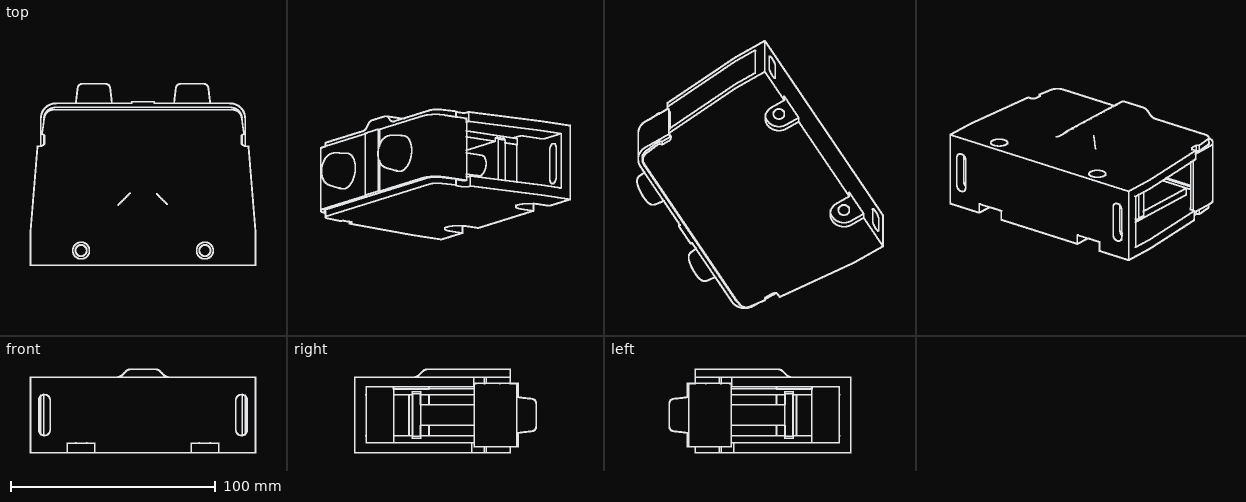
import cadquery as cq
import math


housing_height = 37.0
lower_plate_thickness = 5.0
upper_plate_thickness = 4.75
front_wall = 5.6
front_half_width = 55.0
shoulder_half_width = 51.6
taper_start_y = 16.9
plate_rear_y = 76.1
upper_shoulder_y = 58.3
lower_shoulder_y = 57.3
mid_z = housing_height / 2
cavity_top = housing_height - upper_plate_thickness

notch_outer_x = 49.8
notch_inner_x = 48.1
notch_arc_rise = 2.0
notch_arc_radius = 2.0
notch_end_y = 63.3
tongue_front_y = 64.3
tongue_front_x = 49.3
tongue_rear_x = 48.3
tongue_corner_radius = 4.5

cover_half_width = 50.0
cover_front_y = 58.4
cover_rear_y = 79.2
cover_side_wall = 1.6
cover_rear_wall = 2.0
cover_corner_radius = 7.5
cover_margin_z = 3.0
cover_height = housing_height - 2 * cover_margin_z
cover_inner_rear_y = cover_rear_y - cover_rear_wall
pad_half_width = 5.6
pad_rear_y = 80.0
lip_margin_z = 3.5
lip_height = 3.0
lip_half_width = 45.0

block_half_width = 40.0
block_rear_y = 19.1
block_fillet = 1.9
hole_x = 30.25
hole_y = 7.2
hole_diameter = 5.4
counterbore_diameter = 8.2
counterbore_depth = 20.0
nut_pocket_width = 13.5
nut_pocket_height = 4.8

slot_x = 48.1
slot_width = 5.4
slot_length = 20.0

frame_half_width = 36.9
frame_top = 31.3
frame_rear_y = 70.0
frame_floor_top = 8.5
frame_roof_bottom = 28.3
frame_front_wall_half_width = 36.7
frame_front_wall_rear_y = 26.6
rib_front_y = 36.3
rib_half_width = 10.0

screw_x = 24.0
shank_diameter = 10.2
bar_half_width = 39.6
bar_front_y = 28.2
bar_rear_y = 32.2
bar_height = 22.8
bar_chamfer = 1.0
knob_base_diameter = 17.6
knob_top_diameter = 15.5
knob_rear_y = 88.8
knob_fillet = 2.6

ridge_half_width = 12.9
ridge_front_y = 28.7
ridge_height = 4.0
ridge_arc_radius = 4.0
ridge_slope = math.radians(45)


def box(x0, x1, y0, y1, z0, z1):
    return cq.Workplane("XY").box(x1 - x0, y1 - y0, z1 - z0, centered=False).translate((x0, y0, z0))


def centred_box(half_width, y0, y1, z0, z1):
    return box(-half_width, half_width, y0, y1, z0, z1)


def half_plate(shoulder_y, bottom_z, thickness):
    """Right half of a housing plate, from the symmetry plane to its stepped side edge."""
    diagonal = tongue_corner_radius * (1 - math.sqrt(0.5))
    return (
        cq.Workplane("XY", origin=(0, 0, bottom_z))
        .lineTo(front_half_width, 0)
        .lineTo(front_half_width, taper_start_y)
        .lineTo(shoulder_half_width, shoulder_y)
        .lineTo(notch_outer_x, shoulder_y)
        .radiusArc((notch_inner_x, shoulder_y + notch_arc_rise), notch_arc_radius)
        .lineTo(notch_inner_x, notch_end_y)
        .lineTo(tongue_front_x, tongue_front_y)
        .lineTo(tongue_rear_x, plate_rear_y - tongue_corner_radius)
        .threePointArc(
            (tongue_rear_x - diagonal, plate_rear_y - diagonal),
            (tongue_rear_x - tongue_corner_radius, plate_rear_y),
        )
        .lineTo(0, plate_rear_y)
        .close()
        .extrude(thickness)
    )


def make_plate(shoulder_y, bottom_z, thickness):
    half = half_plate(shoulder_y, bottom_z, thickness)
    return half.union(half.mirror("YZ"))


def make_front_block():
    """Solid block with rounded rear corners and concave fillets against the front wall."""
    wall = centred_box(front_half_width, 0, front_wall, 0, housing_height)
    block = centred_box(block_half_width, 0, block_rear_y, lower_plate_thickness, cavity_top)
    block = block.edges("|Z and >Y").fillet(block_fillet)
    filleted_block = wall.union(block)
    for side in (-1, 1):
        corner_x = side * block_half_width
        outer_x = corner_x + side * block_fillet
        filler = (
            cq.Workplane("XY", origin=(0, 0, lower_plate_thickness))
            .moveTo(corner_x, front_wall)
            .lineTo(outer_x, front_wall)
            .radiusArc((corner_x, front_wall + block_fillet), side * block_fillet)
            .close()
            .extrude(cavity_top - lower_plate_thickness)
        )
        filleted_block = filleted_block.union(filler)
    return filleted_block


def cover_outline(half_width, rear_y, corner_radius, bottom_z, height):
    blank = centred_box(half_width, cover_front_y, rear_y, bottom_z, bottom_z + height)
    return blank.edges("|Z and >Y").fillet(corner_radius)


def make_cover():
    """U-shaped cover with a rear pad and two lips that meet the plate ends."""
    outer = cover_outline(
        cover_half_width, cover_rear_y, cover_corner_radius, cover_margin_z, cover_height
    )
    inner = cover_outline(
        cover_half_width - cover_side_wall,
        cover_inner_rear_y,
        cover_corner_radius - cover_side_wall,
        cover_margin_z,
        cover_height,
    )
    cover = outer.cut(inner)
    cover_top = cover_margin_z + cover_height
    cover = cover.union(
        centred_box(pad_half_width, cover_inner_rear_y, pad_rear_y, cover_margin_z, cover_top)
    )
    for lip_bottom in (lip_margin_z, housing_height - lip_margin_z - lip_height):
        lip = centred_box(
            lip_half_width, plate_rear_y, cover_inner_rear_y, lip_bottom, lip_bottom + lip_height
        )
        cover = cover.union(lip)
    return cover


def make_frame():
    """Inner frame: floor and roof slabs, a front wall and a central rib."""
    frame_front_y = block_rear_y - block_fillet
    floor = centred_box(
        frame_half_width, frame_front_y, frame_rear_y, lower_plate_thickness, frame_floor_top
    )
    roof = centred_box(frame_half_width, frame_front_y, frame_rear_y, frame_roof_bottom, frame_top)
    front = centred_box(
        frame_front_wall_half_width,
        frame_front_y,
        frame_front_wall_rear_y,
        lower_plate_thickness,
        frame_top,
    )
    rib = centred_box(rib_half_width, rib_front_y, frame_rear_y, lower_plate_thickness, cavity_top)
    return floor.union(roof).union(front).union(rib)


def make_clamp_bar():
    bar = centred_box(
        bar_half_width, bar_front_y, bar_rear_y, mid_z - bar_height / 2, mid_z + bar_height / 2
    )
    return bar.edges("<X or >X").edges("|Y").chamfer(bar_chamfer)


def make_screw(x):
    """Shank along Y with a tapered, rounded knob behind the cover."""
    shank = (
        cq.Workplane("XZ", origin=(x, bar_rear_y, mid_z))
        .circle(shank_diameter / 2)
        .extrude(-(cover_rear_y - bar_rear_y))
    )
    knob = (
        cq.Workplane("XY")
        .moveTo(0, cover_inner_rear_y)
        .lineTo(knob_base_diameter / 2, cover_inner_rear_y)
        .lineTo(knob_base_diameter / 2, pad_rear_y)
        .lineTo(knob_top_diameter / 2, knob_rear_y)
        .lineTo(0, knob_rear_y)
        .close()
        .revolve(360, (0, 0, 0), (0, 1, 0))
        .faces(">Y")
        .edges()
        .fillet(knob_fillet)
    )
    return shank.union(knob.translate((x, 0, mid_z)))


def ridge_flank(sketch, start, direction):
    """Add an S-shaped flank rising from start: concave arc, straight slope, convex arc."""
    arc_run = ridge_arc_radius * math.sin(ridge_slope)
    arc_rise = ridge_arc_radius * (1 - math.cos(ridge_slope))
    slope_rise = ridge_height - 2 * arc_rise
    slope_run = slope_rise / math.tan(ridge_slope)
    base_z = housing_height
    foot = (start + direction * arc_run, base_z + arc_rise)
    shoulder = (foot[0] + direction * slope_run, foot[1] + slope_rise)
    crest = (shoulder[0] + direction * arc_run, base_z + ridge_height)
    return (
        sketch.moveTo(start, base_z)
        .radiusArc(foot, -direction * ridge_arc_radius)
        .lineTo(*shoulder)
        .radiusArc(crest, direction * ridge_arc_radius)
    )


def make_ridge():
    """Ridge with mitred front corners: side profile and front profile intersected."""
    across = (
        ridge_flank(cq.Workplane("XZ"), -ridge_half_width, 1)
        .lineTo(0, housing_height + ridge_height)
        .lineTo(0, housing_height)
        .close()
        .extrude(-plate_rear_y)
    )
    across = across.union(across.mirror("YZ"))
    along = (
        ridge_flank(cq.Workplane("YZ"), ridge_front_y, 1)
        .lineTo(plate_rear_y, housing_height + ridge_height)
        .lineTo(plate_rear_y, housing_height)
        .close()
        .extrude(ridge_half_width, both=True)
    )
    return across.intersect(along)


def screw_hole_cut(x):
    """Counterbored vertical hole with a nut pocket open to the front and underside."""
    hole = cq.Workplane("XY").center(x, hole_y).circle(hole_diameter / 2).extrude(housing_height)
    counterbore = (
        cq.Workplane("XY", origin=(x, hole_y, housing_height - counterbore_depth))
        .circle(counterbore_diameter / 2)
        .extrude(counterbore_depth)
    )
    half_pocket = nut_pocket_width / 2
    pocket = cq.Workplane("XY").center(x, hole_y).circle(half_pocket).extrude(nut_pocket_height)
    mouth = box(x - half_pocket, x + half_pocket, 0, hole_y, 0, nut_pocket_height)
    return hole.union(counterbore).union(pocket).union(mouth)


def front_slot_cut(x):
    return (
        cq.Workplane("XZ", origin=(x, 0, mid_z))
        .slot2D(slot_length, slot_width, 90)
        .extrude(-front_wall)
    )


housing = make_plate(lower_shoulder_y, 0, lower_plate_thickness)
housing = housing.union(make_plate(upper_shoulder_y, cavity_top, upper_plate_thickness))
housing = housing.union(make_front_block()).union(make_ridge())
for side in (-1, 1):
    housing = housing.cut(screw_hole_cut(side * hole_x))
    housing = housing.cut(front_slot_cut(side * slot_x))

result = housing.union(make_cover()).union(make_frame()).union(make_clamp_bar())
for side in (-1, 1):
    result = result.union(make_screw(side * screw_x))